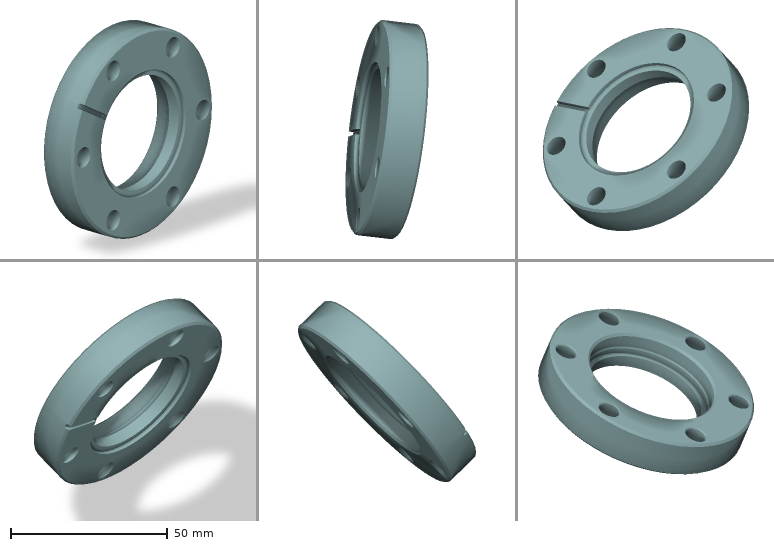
import cadquery as cq
import math


outer_radius = 34.7
flange_width = 12.7
rim_chamfer = 0.75

ring_bore_radius = 21.1
bore_chamfer = 0.75

insert_back = 5.0
front_recess = 1.3
insert_front = flange_width - front_recess
insert_bore_radius = 19.1
socket_radius = 20.65
socket_floor = 7.35
socket_taper_length = 0.5

bolt_count = 6
bolt_circle_radius = 29.3
bolt_hole_radius = 3.4
bolt_chamfer = 0.35

slot_angle = 150.0
slot_width = 1.7
slot_depth = 1.65


def revolve_about_axis(section):
    """Revolve a closed outline, given as (X, radius) points, about the X axis."""
    return cq.Workplane("XY").polyline(section).close().revolve(360, (0, 0, 0), (1, 0, 0))


def make_ring_blank():
    """Chamfered ring with a straight bore, before drilling and slotting."""
    return revolve_about_axis([
        (0, ring_bore_radius + bore_chamfer),
        (0, outer_radius - rim_chamfer),
        (rim_chamfer, outer_radius),
        (flange_width - rim_chamfer, outer_radius),
        (flange_width, outer_radius - rim_chamfer),
        (flange_width, ring_bore_radius),
        (bore_chamfer, ring_bore_radius),
    ])


def make_bolt_hole(angle):
    """Through hole with a chamfered mouth at the back face."""
    mouth_radius = bolt_hole_radius + bolt_chamfer
    hole = revolve_about_axis([
        (0, 0),
        (0, mouth_radius),
        (bolt_chamfer, bolt_hole_radius),
        (flange_width, bolt_hole_radius),
        (flange_width, 0),
    ])
    y = bolt_circle_radius * math.cos(math.radians(angle))
    z = bolt_circle_radius * math.sin(math.radians(angle))
    return hole.translate((0, y, z))


def make_leak_slot():
    """Radial bar that opens the front face from the bore to beyond the rim."""
    bar = cq.Workplane("XY").box(slot_depth, outer_radius, slot_width, centered=(False, False, True))
    return bar.translate((flange_width - slot_depth, insert_bore_radius, 0)).rotate(
        (0, 0, 0), (1, 0, 0), slot_angle
    )


def make_bolt_ring():
    ring = make_ring_blank()
    for index in range(bolt_count):
        ring = ring.cut(make_bolt_hole(index * 360 / bolt_count))
    return ring.cut(make_leak_slot())


def make_insert():
    """Ring filling the bolt ring bore, with a shallow tapered-mouth socket in its back end."""
    return revolve_about_axis([
        (insert_back, ring_bore_radius),
        (insert_front, ring_bore_radius),
        (insert_front, insert_bore_radius),
        (socket_floor, insert_bore_radius),
        (socket_floor, socket_radius),
        (insert_back + socket_taper_length, socket_radius),
    ])


bolt_ring = make_bolt_ring()
insert = make_insert()

result = cq.Compound.makeCompound([bolt_ring.val(), insert.val()])